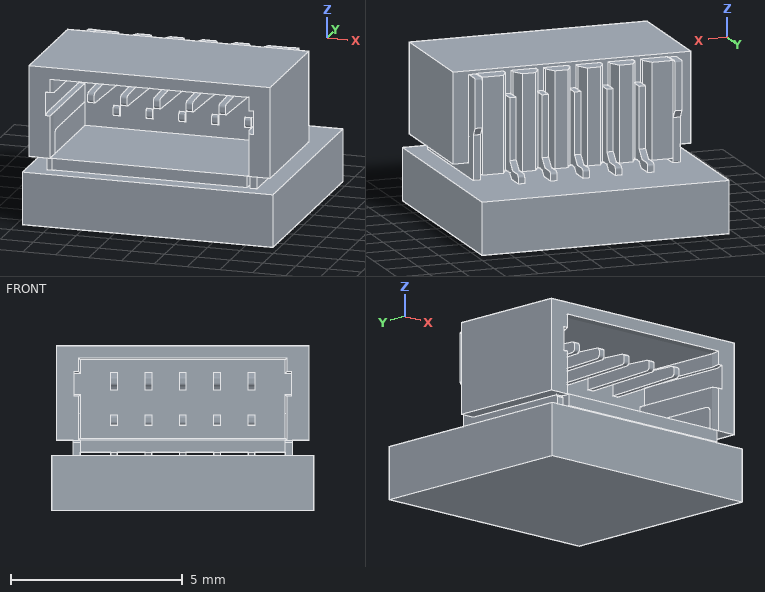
import cadquery as cq


board_width = 7.63
board_depth = 6.88
board_thickness = 1.6

shell_width = 7.35
shell_front = -3.26
shell_back = 0.54
shell_bottom = 0.435
shell_top = 3.2

cavity_width = 5.95
cavity_floor = 0.495
cavity_top = 2.785
cavity_back = 0.0
mouth_flare = 0.05
mouth_depth = 0.2
key_width = 6.33
key_bottom = 1.78
key_top = 2.38

tongue_bottom = 0.09
block_width = 5.89
block_back = 1.03
block_bottom = 0.16
block_top = 3.1
notch_width = 0.595
notch_depth = 0.31
slot_width = 0.24

terminal_count = 5
terminal_pitch = 1.0
terminal_places = [terminal_pitch * (i - (terminal_count - 1) / 2) for i in range(terminal_count)]
terminal_thickness = 0.2
foot_end = 1.77
foot_thickness = 0.275
foot_end_radius = 0.115
bend_radius = 0.1
blade_bottom = block_bottom
leg_top = 0.53
arm_tip_radius = 0.1
upper_arm_tip = -2.57
upper_arm_middle = 2.16
upper_arm_tip_height = 0.31
upper_arm_root_height = 0.5
lower_arm_reach = 0.085
lower_arm_tip = cavity_back - lower_arm_reach
lower_arm_middle = 1.03
lower_arm_height = 0.305

nail_thickness = 0.22
nail_inner_face = cavity_width / 2
nail_back = 1.11
nail_lower_back = 0.96
nail_top = 3.1
nail_step_bottom = 1.365
nail_step_top = 1.6
nail_front = -3.01
nail_upper_front = -2.97
nail_toe_height = 0.38
nail_base_height = 1.22
nail_top_radius = 0.06
nail_base_radius = 0.17
nail_heel_radius = 0.045


def box(x_range, y_range, z_range):
    """Box between the given limits on each axis."""
    size = [high - low for low, high in (x_range, y_range, z_range)]
    corner = (x_range[0], y_range[0], z_range[0])
    return cq.Workplane("XY").box(*size, centered=False).translate(corner)


def centred_box(width, y_range, z_range):
    """Box that is symmetric about X = 0."""
    return box((-width / 2, width / 2), y_range, z_range)


def side_plate(sketch, x_start, thickness):
    """Plate extruded along +X from a closed outline in (Y, Z)."""
    return sketch.close().extrude(thickness).translate((x_start, 0, 0))


def round_corner(plate, x_start, y, z, radius):
    """Round the plate edge along X that is nearest to the given corner of its outline."""
    corner = cq.selectors.NearestToPointSelector((x_start, y, z))
    return plate.edges("|X").edges(corner).fillet(radius)


def flared_mouth(mouth_width, inner_width, bottom, top):
    """Tapered opening that widens by the mouth flare towards the shell front."""
    outer_height = top - bottom + 2 * mouth_flare
    return (
        cq.Workplane("XZ", origin=(0, shell_front, (bottom + top) / 2))
        .rect(mouth_width, outer_height)
        .workplane(offset=-mouth_depth)
        .rect(inner_width, top - bottom)
        .loft(ruled=True)
    )


def make_board():
    """Plain rectangular circuit board."""
    half_depth = board_depth / 2
    return centred_box(board_width, (-half_depth, half_depth), (-board_thickness, 0))


def make_comb_notch():
    """V-shaped notch in the back of the comb block that ends in a narrow slot, at X = 0."""
    notch_end = block_back - notch_depth
    return (
        cq.Workplane("XY", origin=(0, 0, block_bottom))
        .moveTo(-notch_width / 2, block_back)
        .lineTo(-slot_width / 2, notch_end)
        .lineTo(-slot_width / 2, shell_back)
        .lineTo(slot_width / 2, shell_back)
        .lineTo(slot_width / 2, notch_end)
        .lineTo(notch_width / 2, block_back)
        .close()
        .extrude(block_top - block_bottom)
    )


def make_housing():
    """Shell, tongue and comb block in one piece, still without the recesses for terminals and nails."""
    shell = centred_box(shell_width, (shell_front, shell_back), (shell_bottom, shell_top))
    tongue = centred_box(cavity_width, (shell_front, shell_back), (tongue_bottom, cavity_floor))
    block = centred_box(block_width, (shell_back, block_back), (block_bottom, block_top))
    for x in terminal_places:
        block = block.cut(make_comb_notch().translate((x, 0, 0)))

    cavity_length = (shell_front, cavity_back)
    cavity = centred_box(cavity_width, cavity_length, (cavity_floor, cavity_top))
    keyway = centred_box(key_width, cavity_length, (key_bottom, key_top))
    mouth = flared_mouth(cavity_width + 2 * mouth_flare, cavity_width, cavity_floor, cavity_top)
    key_mouth = flared_mouth(key_width, key_width, key_bottom, key_top)

    housing = shell.union(tongue).union(block)
    return housing.cut(cavity).cut(keyway).cut(mouth).cut(key_mouth)


def make_arm(x_start, middle, tip, tip_height, root_height):
    """Contact arm along Y with a rounded tip and a straight taper from the cavity wall, if heights differ."""
    stations = [(tip, tip_height), (cavity_back, root_height), (shell_back, root_height)]
    lower_edge = [(y, middle - height / 2) for y, height in stations]
    upper_edge = [(y, middle + height / 2) for y, height in reversed(stations)]
    outline = cq.Workplane("YZ").polyline(lower_edge + upper_edge)
    arm = side_plate(outline, x_start, terminal_thickness)
    return arm.faces("<Y").edges("|X").fillet(arm_tip_radius)


def make_terminal(x):
    """One stamped terminal centred on the given X."""
    x_start = x - terminal_thickness / 2
    blade_top = upper_arm_middle + upper_arm_root_height / 2
    leg_start = block_back + leg_top - foot_thickness
    outline = (
        cq.Workplane("YZ")
        .moveTo(shell_back, blade_bottom)
        .lineTo(shell_back, blade_top)
        .lineTo(block_back, blade_top)
        .lineTo(block_back, leg_top)
        .lineTo(leg_start, foot_thickness)
        .lineTo(foot_end, foot_thickness)
        .lineTo(foot_end, 0)
        .lineTo(block_back + blade_bottom, 0)
        .lineTo(block_back, blade_bottom)
    )
    body = side_plate(outline, x_start, terminal_thickness)
    corners = [
        (foot_end, foot_thickness, foot_end_radius),
        (leg_start, foot_thickness, bend_radius),
    ]
    for y, z, radius in corners:
        body = round_corner(body, x_start, y, z, radius)
    upper_heights = (upper_arm_tip_height, upper_arm_root_height)
    upper_arm = make_arm(x_start, upper_arm_middle, upper_arm_tip, *upper_heights)
    lower_arm = make_arm(x_start, lower_arm_middle, lower_arm_tip, lower_arm_height, lower_arm_height)
    return body.union(upper_arm).union(lower_arm)


def make_nail(x_start):
    """One fitting nail whose lower face on X is at x_start."""
    outline = (
        cq.Workplane("YZ")
        .moveTo(nail_lower_back, 0)
        .lineTo(nail_lower_back, nail_step_bottom)
        .lineTo(nail_back, nail_step_top)
        .lineTo(nail_back, nail_top)
        .lineTo(shell_back, nail_top)
        .lineTo(shell_back, nail_base_height)
        .lineTo(nail_upper_front, nail_base_height)
        .lineTo(nail_upper_front, shell_bottom)
        .lineTo(nail_front, nail_toe_height)
        .lineTo(nail_front, 0)
    )
    nail = side_plate(outline, x_start, nail_thickness)
    corners = [
        (nail_back, nail_top, nail_top_radius),
        (shell_back, nail_top, nail_top_radius),
        (nail_upper_front, nail_base_height, nail_base_radius),
        (nail_lower_back, 0, nail_heel_radius),
    ]
    for y, z, radius in corners:
        nail = round_corner(nail, x_start, y, z, radius)
    return nail


board = make_board()
terminals = [make_terminal(x) for x in terminal_places]
nails = [make_nail(x_start) for x_start in (-nail_inner_face - nail_thickness, nail_inner_face)]

housing = make_housing()
for insert in terminals + nails:
    housing = housing.cut(insert)

terminal_solids = [terminal.val() for terminal in terminals]
nail_solids = [nail.val() for nail in nails]
result = cq.Compound.makeCompound([board.val(), housing.val(), *terminal_solids, *nail_solids])